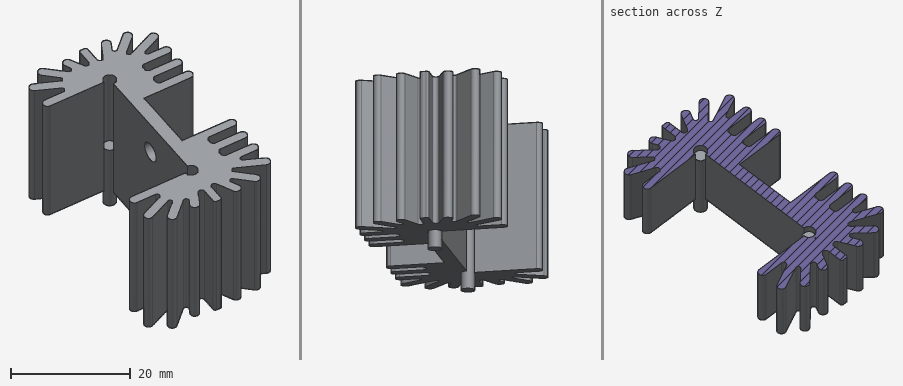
import cadquery as cq
import math

width = 42.5
depth = 25.1
height = 25.4

web_thickness = 2.5
web_hole_diameter = 3.6
web_hole_height = 19.05

pin_spacing = 25.5
pin_diameter = 2.3
pin_protrusion = 3.0
pin_insertion = 10.0

fin_width = 1.66
middle_fin_width = 1.52
middle_fin_corner = 0.4
straight_pitch = 3.43
straight_slot_floor = 6.25
straight_slot_corner = 0.6
back_channel_width = 11.9
tight_root = 0.39
close_root = 0.43
medium_root = 0.5
wide_root = 0.57
steep_angle = 66.0
diagonal_angle = 47.0
shallow_angle = 27.0

steep_back_end = (-17.54, 11.65)
diagonal_back_end = (-20.00, 8.09)
shallow_back_end = (-20.29, 4.09)
shallow_front_end = (-19.88, -3.80)
diagonal_front_end = (-20.29, -8.49)
steep_front_end = (-17.95, -11.67)

half_fin = fin_width / 2
corner_x = -pin_spacing / 2
inner_fin_x = -back_channel_width / 2 - half_fin
back_tip_y = depth / 2 - half_fin
front_tip_y = -depth / 2 + half_fin


def moved(point, direction, distance):
    return (point[0] + direction[0] * distance, point[1] + direction[1] * distance)


class Fin:
    """A fin of the left side: centre of its end, outward angle, root radius of the slot after it."""

    def __init__(self, centre, angle, root=None, thickness=fin_width, corner=half_fin):
        self.centre = centre
        self.root = root
        self.half = thickness / 2
        self.corner = corner
        angle = math.radians(angle)
        self.out = (math.cos(angle), math.sin(angle))
        self.before = (self.out[1], -self.out[0])
        self.after = (-self.out[1], self.out[0])


straight_fin_count = 3
middle_fin_x = -(width - middle_fin_width) / 2
outer_straight_fin_x = inner_fin_x - (straight_fin_count - 1) * straight_pitch

fins = [Fin((inner_fin_x - i * straight_pitch, back_tip_y), 90) for i in range(straight_fin_count - 1)]
fins += [
    Fin((outer_straight_fin_x, back_tip_y), 90, close_root),
    Fin(steep_back_end, 180 - steep_angle, close_root),
    Fin(diagonal_back_end, 180 - diagonal_angle, close_root),
    Fin(shallow_back_end, 180 - shallow_angle, wide_root),
    Fin((middle_fin_x, 0), 180, wide_root, middle_fin_width, middle_fin_corner),
    Fin(shallow_front_end, 180 + shallow_angle, medium_root),
    Fin(diagonal_front_end, 180 + diagonal_angle, tight_root),
    Fin(steep_front_end, 180 + steep_angle, medium_root),
    Fin((corner_x - half_fin, front_tip_y), 270),
]


def add_fin_end(outline, fin):
    """Run up one side of a fin and round both corners of its end."""
    flat = fin.half - fin.corner
    diagonal = math.sqrt(0.5) * fin.corner
    shoulder = moved(fin.centre, fin.out, flat)

    first_centre = moved(shoulder, fin.before, flat)
    first_middle = moved(moved(first_centre, fin.before, diagonal), fin.out, diagonal)
    outline = outline.lineTo(*moved(first_centre, fin.before, fin.corner))
    outline = outline.threePointArc(first_middle, moved(first_centre, fin.out, fin.corner))

    last_centre = moved(shoulder, fin.after, flat)
    last_middle = moved(moved(last_centre, fin.after, diagonal), fin.out, diagonal)
    if flat > 0:
        outline = outline.lineTo(*moved(last_centre, fin.out, fin.corner))
    return outline.threePointArc(last_middle, moved(last_centre, fin.after, fin.corner))


def add_straight_slot(outline, fin, next_fin):
    """Flat floor with rounded corners between two parallel fins."""
    right = fin.centre[0] - fin.half
    left = next_fin.centre[0] + next_fin.half
    radius = straight_slot_corner
    inset = radius * (1 - math.sqrt(0.5))
    floor = straight_slot_floor
    return (
        outline.lineTo(right, floor + radius)
        .threePointArc((right - inset, floor + inset), (right - radius, floor))
        .lineTo(left + radius, floor)
        .threePointArc((left + inset, floor + inset), (left, floor + radius))
    )


def add_fanned_slot(outline, fin, next_fin):
    """Root arc tangent to the facing sides of two fins that spread apart."""
    start = moved(fin.centre, fin.after, fin.half + fin.root)
    target = moved(next_fin.centre, next_fin.before, next_fin.half + fin.root)
    gap = (target[0] - start[0], target[1] - start[1])
    cross = fin.out[0] * next_fin.out[1] - fin.out[1] * next_fin.out[0]
    along = (gap[0] * next_fin.out[1] - gap[1] * next_fin.out[0]) / cross
    centre = moved(start, fin.out, along)
    bisector = (fin.out[0] + next_fin.out[0], fin.out[1] + next_fin.out[1])
    bottom = moved(centre, bisector, -fin.root / math.hypot(*bisector))
    outline = outline.lineTo(*moved(centre, fin.after, -fin.root))
    return outline.threePointArc(bottom, moved(centre, next_fin.before, -fin.root))


def make_left_half():
    outline = cq.Workplane("XY").moveTo(0, web_thickness).lineTo(-back_channel_width / 2, web_thickness)
    for fin, next_fin in zip(fins, fins[1:]):
        outline = add_fin_end(outline, fin)
        if fin.root is None:
            outline = add_straight_slot(outline, fin, next_fin)
        else:
            outline = add_fanned_slot(outline, fin, next_fin)
    outline = add_fin_end(outline, fins[-1])
    return outline.lineTo(corner_x, 0).lineTo(0, 0).close().extrude(height)


def make_pin_cylinders(bottom, length):
    return (
        cq.Workplane("XY", origin=(0, 0, bottom))
        .pushPoints([(-pin_spacing / 2, 0), (pin_spacing / 2, 0)])
        .circle(pin_diameter / 2)
        .extrude(length)
    )


def make_web_hole():
    return (
        cq.Workplane("XZ", origin=(0, web_thickness, web_hole_height))
        .circle(web_hole_diameter / 2)
        .extrude(web_thickness)
    )


left_half = make_left_half()
body = left_half.union(left_half.mirror("YZ"))
body = body.cut(make_web_hole()).cut(make_pin_cylinders(0, height))
result = body.union(make_pin_cylinders(-pin_protrusion, pin_protrusion + pin_insertion))